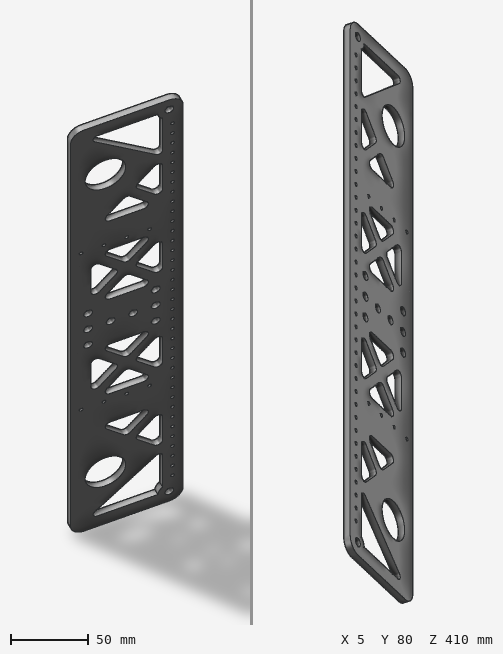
import cadquery as cq

thickness = 5.0
width = 80.0
length = 410.0
corner_radius = 10.0

corner_hole_diameter = 6.0
corner_hole_y = width / 2 - corner_radius
corner_hole_z = length / 2 - corner_radius
corner_boss_radius = 8.0

small_hole_diameter = 2.5
column_y = 32.5
column_end_z = 180.0
column_count = 37
cross_row_z = 80.0
cross_row_count = 5

mount_hole_diameter = 6.0
mount_pitch = 16.0
mount_first_y = 20.5
mount_count = 4

round_opening_diameter = 28.5
round_opening_y = -15.0
round_opening_z = 152.0

cell_half_size = 25.5
diagonal_bar_width = 7.5
window_fillet = 3.5
inner_cell_z = 48.5
outer_cell_z = 128.5

end_window_side_y = cell_half_size
end_window_outer_z = 194.5
end_window_inner_z = 150.0
end_window_tip_y = -29.0
end_window_fillet = 3.0


def prism(points, fillet_radius):
    """Triangular cutter through the plate from (y, z) corners, with rounded upright edges."""
    return (
        cq.Workplane("YZ", origin=(-thickness / 2, 0, 0))
        .polyline(points)
        .close()
        .extrude(thickness)
        .edges("|X")
        .fillet(fillet_radius)
    )


def cylinders(centers, diameter):
    """Round cutters through the plate at the given (y, z) centers."""
    return (
        cq.Workplane("YZ", origin=(-thickness / 2, 0, 0))
        .pushPoints(centers)
        .circle(diameter / 2)
        .extrude(thickness)
    )


def cell_window(cell_z, angle):
    """One triangular window of a truss cell; angle 0 has its base on +Y, 90 on +Z."""
    apex = diagonal_bar_width / 2 * 2**0.5
    half_base = cell_half_size - apex
    window = prism([(apex, 0), (cell_half_size, half_base), (cell_half_size, -half_base)], window_fillet)
    return window.rotate((0, 0, 0), (1, 0, 0), angle).translate((0, 0, cell_z))


def end_window():
    """Large triangular window, cut back around the corner hole to leave a round boss."""
    window = prism(
        [
            (end_window_side_y, end_window_outer_z),
            (end_window_side_y, end_window_inner_z),
            (end_window_tip_y, end_window_outer_z),
        ],
        end_window_fillet,
    )
    return window.cut(cylinders([(corner_hole_y, corner_hole_z)], 2 * corner_boss_radius))


def upper_half_cutters():
    """Openings of the +Z half that are mirrored onto the -Z half."""
    cutters = [cell_window(inner_cell_z, angle) for angle in (0, 90, 180, 270)]
    cutters += [cell_window(outer_cell_z, angle) for angle in (0, 270)]
    cutters.append(end_window())
    cutters.append(cylinders([(round_opening_y, round_opening_z)], round_opening_diameter))
    cutters.append(cylinders([(corner_hole_y, corner_hole_z)], corner_hole_diameter))
    return cutters


def small_hole_centers():
    """Column along the +Y edge, plus the two cross rows that start from it."""
    column_pitch = 2 * column_end_z / (column_count - 1)
    row_pitch = 2 * column_y / (cross_row_count - 1)
    centers = [(column_y, column_end_z - i * column_pitch) for i in range(column_count)]
    for row_z in (-cross_row_z, cross_row_z):
        centers += [(column_y - i * row_pitch, row_z) for i in range(1, cross_row_count)]
    return centers


def mount_hole_centers():
    """Full middle row, with one more hole above and below each end of it."""
    row = [mount_first_y - i * mount_pitch for i in range(mount_count)]
    centers = [(y, 0) for y in row]
    for y in (row[0], row[-1]):
        centers += [(y, -mount_pitch), (y, mount_pitch)]
    return centers


result = cq.Workplane("YZ", origin=(-thickness / 2, 0, 0)).rect(width, length).extrude(thickness)
result = result.edges("|X").fillet(corner_radius)

for cutter in upper_half_cutters():
    result = result.cut(cutter).cut(cutter.mirror("XY"))

result = result.cut(cylinders(small_hole_centers(), small_hole_diameter))
result = result.cut(cylinders(mount_hole_centers(), mount_hole_diameter))